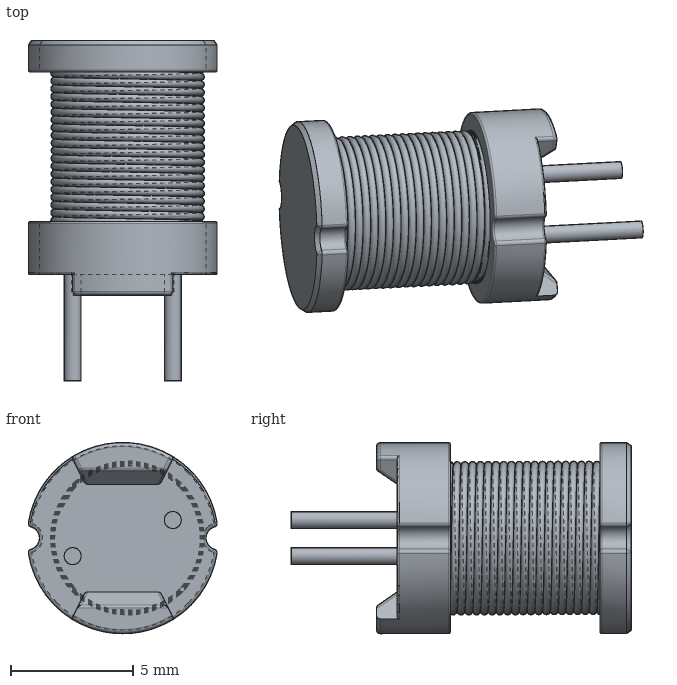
import cadquery as cq
import math


flange_radius = 3.92
base_height = 2.18
top_flange_start = 8.3
top_flange_height = 1.3
rim_fillet = 0.08
crown_chamfer_radial = 0.14
crown_chamfer_axial = 0.2

notch_radius = 0.47
notch_center_x = 3.9
notch_lip_fillet = 0.15

foot_height = 0.85
foot_inner_z = 2.2
foot_inner_half_width = 1.54
foot_outer_half_width = 2.1
foot_tip_inner_z = 2.79
foot_outer_fillet = 0.17
foot_edge_fillet = 0.14

lead_radius = 0.35
lead_length = 4.35
lead_x = 2.05
lead_z = 0.74

winding_radius = 3.15
wire_radius = 0.15
pitch = 0.318
turns = 20.5
coil_radius = winding_radius - wire_radius
core_radius = 2.99
core_embed = 0.56
winding_x = 0.2
winding_center_y = (base_height + top_flange_start) / 2


def cylinder(radius, start, height):
    """Cylinder around the Y axis growing toward +Y from Y = start."""
    return cq.Workplane("XZ", origin=(0, start, 0)).circle(radius).extrude(-height)


def notched_disc(start, height):
    """Flange disc with a rounded-lip notch on each X side."""
    disc = cylinder(flange_radius, start, height)
    for side in (-1, 1):
        notch = cylinder(notch_radius, start, height).translate((side * notch_center_x, 0, 0))
        disc = disc.cut(notch)
    return disc.edges("|Y").fillet(notch_lip_fillet)


def foot_blank():
    """Standoff foot on the +Z side, sunk into the base far enough to bury the rounded rim below it."""
    outer_corner_z = math.sqrt(flange_radius**2 - foot_outer_half_width**2)
    flare = (foot_outer_half_width - foot_inner_half_width) / (outer_corner_z - foot_inner_z)
    reach_half_width = foot_inner_half_width + flare * (flange_radius - foot_inner_z)
    wedge = (
        cq.Workplane("XZ", origin=(0, rim_fillet, 0))
        .polyline([
            (-foot_inner_half_width, foot_inner_z),
            (foot_inner_half_width, foot_inner_z),
            (reach_half_width, flange_radius),
            (-reach_half_width, flange_radius),
        ])
        .close()
        .extrude(foot_height + rim_fillet)
    )
    slope = (
        cq.Workplane("YZ")
        .polyline([
            (0, foot_inner_z),
            (-foot_height, foot_inner_z),
            (-foot_height, foot_tip_inner_z),
        ])
        .close()
        .extrude(flange_radius, both=True)
    )
    rim = cylinder(flange_radius, -foot_height, foot_height + rim_fillet)
    return wedge.cut(slope).intersect(rim)


slope_edges = cq.selectors.BoxSelector(
    (-flange_radius, -foot_height - rim_fillet, foot_inner_z + rim_fillet),
    (flange_radius, -rim_fillet, foot_tip_inner_z + rim_fillet),
)


def round_outer_tip(blank):
    """Round the curved outer edge of a foot tip."""
    return blank.faces("<Y").edges("%CIRCLE").fillet(foot_outer_fillet)


def upper_foot():
    """Foot with its outer corners, the sides of its tip and its sloped face rounded."""
    outer_corners = cq.selectors.BoxSelector(
        (-flange_radius, -foot_height, foot_tip_inner_z),
        (flange_radius, rim_fillet, flange_radius),
    )
    blank = foot_blank().edges("|Y").edges(outer_corners).fillet(foot_edge_fillet)
    blank = round_outer_tip(blank)
    tip_sides = blank.faces("<Y").edges("%LINE")
    return blank.edges(slope_edges).add(tip_sides).fillet(foot_edge_fillet)


def lower_foot():
    """Foot with the free edges of its sloped inner face rounded."""
    blank = round_outer_tip(foot_blank())
    return blank.edges(slope_edges).fillet(foot_edge_fillet).mirror("XY")


def base():
    """Lower flange with two standoff feet and softened edges."""
    disc = notched_disc(0, base_height).faces("<Y or >Y").edges().fillet(rim_fillet)
    return disc.union(upper_foot()).union(lower_foot())


def top_flange():
    """Upper flange, chamfered on its crown and rounded toward the winding."""
    disc = notched_disc(top_flange_start, top_flange_height)
    disc = disc.faces("<Y").edges().fillet(rim_fillet)
    return disc.faces(">Y").edges().chamfer(crown_chamfer_radial, crown_chamfer_axial)


def winding():
    """Left-handed helical wire whose two ends are buried in the flanges."""
    height = pitch * turns
    first_y = winding_center_y - height / 2
    helix = cq.Wire.makeHelix(pitch, height, coil_radius, lefthand=True)
    coil = (
        cq.Workplane("XZ", origin=(coil_radius, 0, 0))
        .circle(wire_radius)
        .sweep(cq.Workplane(helix), isFrenet=True)
    )
    coil = coil.rotate((0, 0, 0), (0, 0, 1), 90).rotate((0, 0, 0), (1, 0, 0), -90)
    return coil.translate((0, first_y, 0))


def lead(side):
    """Straight round lead; the two leads sit at opposite corners about the drum axis."""
    pin = cylinder(lead_radius, -lead_length, lead_length)
    return pin.translate((side * lead_x, 0, side * lead_z))


def wound_core():
    """Core with its winding, both running into the flanges, set off center along X."""
    span = top_flange_start - base_height
    core = cylinder(core_radius, base_height - core_embed, span + 2 * core_embed)
    return core.union(winding()).translate((winding_x, 0, 0))


flanges = base().union(top_flange())
result = wound_core().union(flanges)
for side in (-1, 1):
    result = result.union(lead(side))